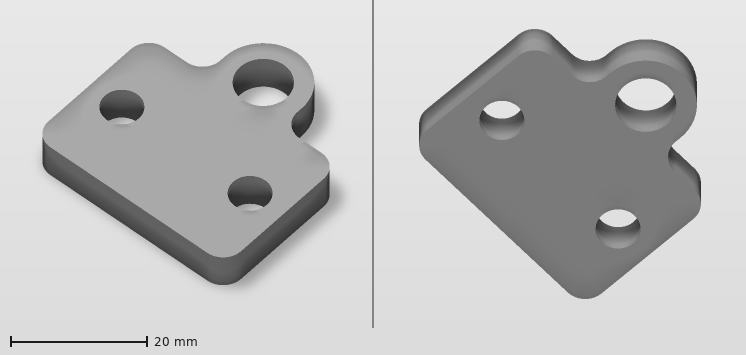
import cadquery as cq

plate_width = 37.6
plate_depth = 25.4
thickness = 6.35
corner_radius = 3.5

lug_radius = 7.5
lug_hole_diameter = 9.0
lug_offset = 4.5
lug_fillet_radius = 3.5
lug_center_y = plate_depth / 2 + lug_offset

mount_hole_diameter = 6.6
mount_hole_spacing = 25.0


def make_plate():
    """Rectangular plate centred on the Z axis, resting on Z = 0."""
    return (
        cq.Workplane("XY")
        .rect(plate_width, plate_depth)
        .extrude(thickness)
        .edges("|Z")
        .fillet(corner_radius)
    )


def make_lug():
    """Round-ended tongue running from the plate's centre to the lug."""
    return (
        cq.Workplane("XY")
        .moveTo(-lug_radius, 0)
        .lineTo(lug_radius, 0)
        .lineTo(lug_radius, lug_center_y)
        .threePointArc((0, lug_center_y + lug_radius), (-lug_radius, lug_center_y))
        .close()
        .extrude(thickness)
    )


def blend_lug(body):
    """Round the two inside corners where the lug leaves the plate."""
    for side in (-1, 1):
        corner = (side * lug_radius, plate_depth / 2, thickness / 2)
        body = body.edges(cq.selectors.NearestToPointSelector(corner)).fillet(lug_fillet_radius)
    return body


def drill(body, centers, diameter):
    """Cut through holes at the given XY centres."""
    holes = cq.Workplane("XY").pushPoints(centers).circle(diameter / 2).extrude(thickness)
    return body.cut(holes)


mount_hole_centers = [(side * mount_hole_spacing / 2, 0) for side in (-1, 1)]

result = blend_lug(make_plate().union(make_lug()))
result = drill(result, [(0, lug_center_y)], lug_hole_diameter)
result = drill(result, mount_hole_centers, mount_hole_diameter)